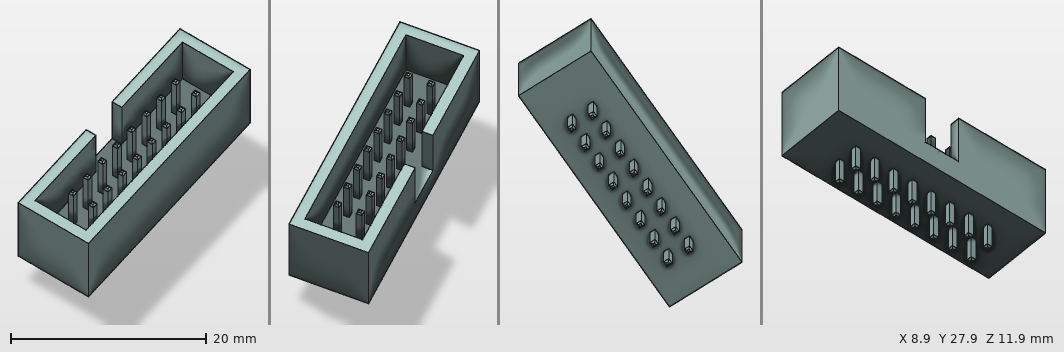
import cadquery as cq

columns = 2
rows = 8

length = 27.95
end_pitches = 3
pitch = length / (rows + end_pitches)
width = 8.9
height = 8.9
side_wall = 1.23
end_wall = 1.25
cavity_depth = 6.12
key_slot_width = 4.47

pin_side = 0.65
pin_tail = 3.0
pin_recess = 0.98
tip_chamfer = 0.2

floor_z = height - cavity_depth


def make_housing():
    """Open-topped box with its underside at Z = 0, centred on X and Y."""
    block = cq.Workplane("XY").box(width, length, height, centered=(True, True, False))
    cavity = (
        cq.Workplane("XY", origin=(0, 0, floor_z))
        .rect(width - 2 * side_wall, length - 2 * end_wall)
        .extrude(cavity_depth)
    )
    return block.cut(cavity)


def make_key_slot():
    """Polarising slot through the -X wall, level with the cavity floor."""
    return (
        cq.Workplane("XY", origin=(-(width - side_wall) / 2, 0, floor_z))
        .rect(side_wall, key_slot_width)
        .extrude(cavity_depth)
    )


def make_pins():
    """All pins, each with both ends chamfered to a blunt point."""
    pin_length = pin_tail + height - pin_recess
    pin = (
        cq.Workplane("XY", origin=(0, 0, -pin_tail))
        .rect(pin_side, pin_side)
        .extrude(pin_length)
        .faces("<Z or >Z")
        .chamfer(tip_chamfer)
    )
    grid = cq.Workplane("XY").rarray(pitch, pitch, columns, rows)
    return grid.eachpoint(lambda place: pin.val().moved(place))


result = make_housing().cut(make_key_slot()).union(make_pins())